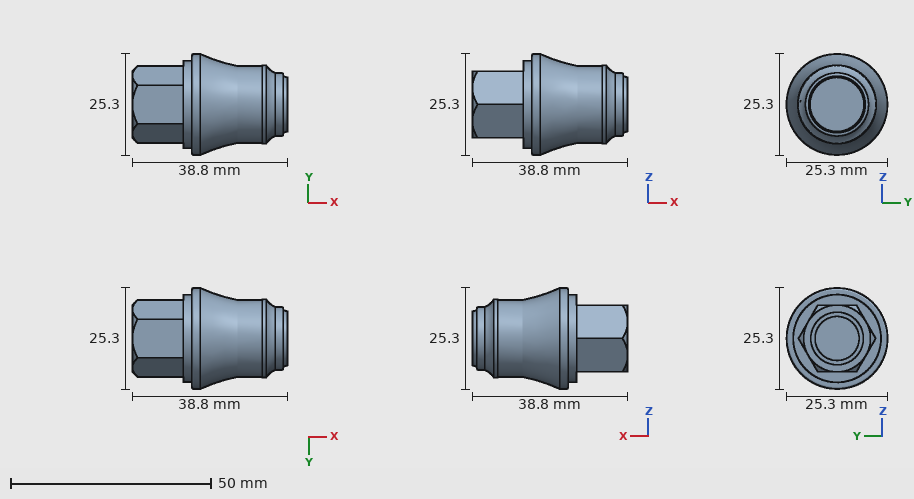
import cadquery as cq
import math

hex_end = 12.75
collar_end = 14.82
rim_end = 16.95
flare_end = 26.25
band_start = 32.48
band_end = 33.4
shoulder_end = 35.7
nose_start = 37.7
total_length = 38.8

collar_diameter = 21.9
rim_diameter = 25.3
neck_diameter = 19.3
band_diameter = 19.65
shoulder_diameter = 15.8
nose_base_diameter = 14.15
nose_tip_diameter = 13.5

rim_fillet = 0.6
shoulder_fillet = 0.5
flare_radius = 39.95
shoulder_radius = 5.0

hex_across_corners = neck_diameter
hex_across_flats = hex_across_corners * math.cos(math.radians(30))
hex_chamfer = (hex_across_corners - hex_across_flats) / 2

bore_diameter = 13.15
bore_depth = 12.03
inner_bore_diameter = 11.0
inner_bore_depth = 15.52

gap_outer_diameter = 22.0
gap_depth = 0.4


def cylinder(diameter, start, end):
    """Solid cylinder on the X axis between two positions."""
    return cq.Workplane("YZ").workplane(offset=start).circle(diameter / 2).extrude(end - start)


def hollow_arc_middle(start, end, radius):
    """Middle point of an arc of the given radius that bows towards the X axis.

    The arc runs from start to end, with end further along +X.
    """
    run = end[0] - start[0]
    rise = end[1] - start[1]
    chord = math.hypot(run, rise)
    sag = radius - math.sqrt(radius**2 - (chord / 2) ** 2)
    middle_x = (start[0] + end[0]) / 2 + sag * rise / chord
    middle_r = (start[1] + end[1]) / 2 - sag * run / chord
    return (middle_x, middle_r)


def make_hexagon():
    """Hexagonal wrench section, its corners cut by a cone at the open end."""
    prism = cq.Workplane("YZ").polygon(6, hex_across_corners).extrude(hex_end)
    cone_envelope = cylinder(hex_across_corners, 0, hex_end).faces("<X").chamfer(hex_chamfer)
    return prism.intersect(cone_envelope)


def make_sleeve():
    """Flared sleeve, raised band, hollow shoulder and tapered nose, revolved about X."""
    rim = rim_diameter / 2
    neck = neck_diameter / 2
    band = band_diameter / 2
    shoulder = shoulder_diameter / 2

    flare_from = (rim_end, rim)
    flare_to = (flare_end, neck)
    shoulder_from = (band_end, band)
    shoulder_to = (shoulder_end, shoulder)

    fillet_inset = 1 - math.sqrt(0.5)
    rim_inset = rim_fillet * fillet_inset
    shoulder_inset = shoulder_fillet * fillet_inset

    profile = (
        cq.Workplane("XY")
        .moveTo(collar_end, 0)
        .lineTo(collar_end, rim - rim_fillet)
        .threePointArc((collar_end + rim_inset, rim - rim_inset), (collar_end + rim_fillet, rim))
        .lineTo(*flare_from)
        .threePointArc(hollow_arc_middle(flare_from, flare_to, flare_radius), flare_to)
        .lineTo(band_start, neck)
        .lineTo(band_start, band)
        .lineTo(*shoulder_from)
        .threePointArc(hollow_arc_middle(shoulder_from, shoulder_to, shoulder_radius), shoulder_to)
        .lineTo(nose_start - shoulder_fillet, shoulder)
        .threePointArc(
            (nose_start - shoulder_inset, shoulder - shoulder_inset),
            (nose_start, shoulder - shoulder_fillet),
        )
        .lineTo(nose_start, nose_base_diameter / 2)
        .lineTo(total_length, nose_tip_diameter / 2)
        .lineTo(total_length, 0)
        .close()
    )
    return profile.revolve(360, (0, 0, 0), (1, 0, 0))


sleeve = make_sleeve().cut(cylinder(gap_outer_diameter, collar_end, collar_end + gap_depth))
collar = cylinder(collar_diameter, hex_end, collar_end + gap_depth)
body = make_hexagon().union(collar).union(sleeve)

bore = cylinder(bore_diameter, 0, bore_depth)
inner_bore = cylinder(inner_bore_diameter, 0, inner_bore_depth)
result = body.cut(bore).cut(inner_bore)